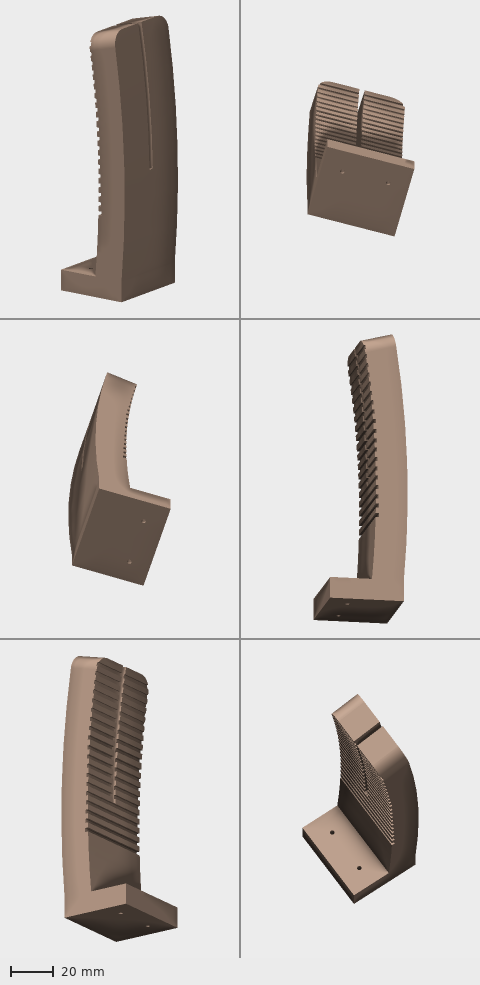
import cadquery as cq
import math

width = 42.0
height = 130.0
foot_thickness = 10.0
arm_thickness = 15.1

back_radius = 470.6
front_radius = back_radius - arm_thickness
bow_height = 51.4
bow_reach = 36.8
arc_center_x = bow_reach - back_radius
tip_front_drop = 3.8
tip_corner_radius = 7.3

slot_width = 2.6
slot_bottom = 60.0

hole_diameter = 2.1
hole_spacing = 22.1
hole_x = 10.0

groove_height = 2.0
groove_cut_reach = 5.2
lower_count = 10
lower_first = (23.3, 41.0)
lower_last = (22.0, 81.4)
upper_count = 9
upper_first = (21.7, 86.3)
upper_last = (16.9, 121.8)
upper_tilt = 5.0


def arc_point(radius, z):
    """Point (x, z) on an arm arc at height z."""
    return arc_center_x + math.sqrt(radius**2 - (z - bow_height) ** 2), z


def make_foot():
    length, _ = arc_point(back_radius, foot_thickness)
    return cq.Workplane("XY").box(length, width, foot_thickness, centered=(False, True, False))


def make_arm():
    tip_front_z = height - tip_front_drop
    arm = (
        cq.Workplane("XZ")
        .moveTo(*arc_point(back_radius, foot_thickness))
        .threePointArc(arc_point(back_radius, bow_height), arc_point(back_radius, height))
        .lineTo(*arc_point(front_radius, tip_front_z))
        .threePointArc(
            arc_point(front_radius, bow_height), arc_point(front_radius, foot_thickness)
        )
        .close()
        .extrude(width / 2, both=True)
    )
    return arm.faces(">Z").edges("<Y or >Y").fillet(tip_corner_radius)


def groove_cutter(floor_x, z, tilt):
    """Bar whose +X face is the groove floor, turned about the middle of that floor."""
    bar = cq.Workplane("XY").box(groove_cut_reach, width, groove_height)
    bar = bar.translate((-groove_cut_reach / 2, 0, 0))
    bar = bar.rotate((0, 0, 0), (0, 1, 0), -tilt)
    return bar.translate((floor_x, 0, z))


def cut_groove_bank(body, count, first, last, tilt):
    step_x = (last[0] - first[0]) / (count - 1)
    step_z = (last[1] - first[1]) / (count - 1)
    for i in range(count):
        body = body.cut(groove_cutter(first[0] + i * step_x, first[1] + i * step_z, tilt))
    return body


def cut_slot(body):
    slot = cq.Workplane("XY").box(
        bow_reach, slot_width, height - slot_bottom, centered=(False, True, False)
    )
    return body.cut(slot.translate((0, 0, slot_bottom)))


def cut_foot_holes(body):
    holes = (
        cq.Workplane("XY")
        .pushPoints([(hole_x, -hole_spacing / 2), (hole_x, hole_spacing / 2)])
        .circle(hole_diameter / 2)
        .extrude(foot_thickness)
    )
    return body.cut(holes)


result = make_foot().union(make_arm())
result = cut_groove_bank(result, lower_count, lower_first, lower_last, 0)
result = cut_groove_bank(result, upper_count, upper_first, upper_last, upper_tilt)
result = cut_slot(result)
result = cut_foot_holes(result)